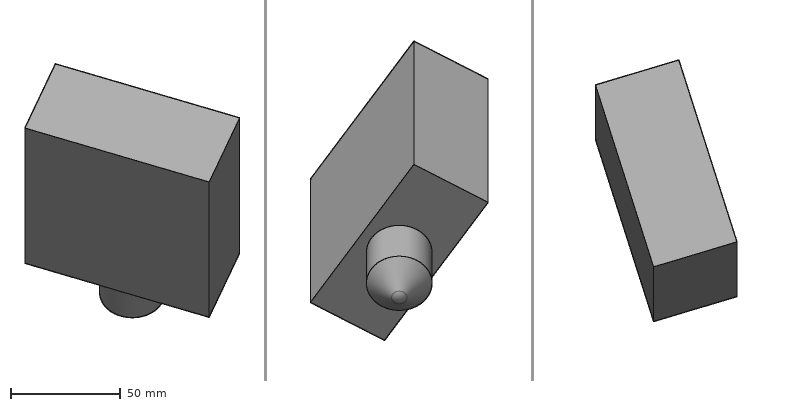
import cadquery as cq
import math

total_height = 137.9
block_width = 90.0
block_depth = 40.0
block_height = 100.0

pin_radius = 15.0
pin_length = 25.0
tip_radius = 5.0

block_bottom = total_height - block_height
cone_top = block_bottom - pin_length

cone_slope = math.radians(45)
tangent_radius = tip_radius * math.sin(cone_slope)
tangent_height = tip_radius * (1 - math.cos(cone_slope))
half_slope = cone_slope / 2
arc_middle = (tip_radius * math.sin(half_slope), tip_radius * (1 - math.cos(half_slope)))

block = (
    cq.Workplane("XY")
    .workplane(offset=block_bottom)
    .rect(block_width, block_depth)
    .extrude(block_height)
)

pin = (
    cq.Workplane("XZ")
    .moveTo(0, 0)
    .threePointArc(arc_middle, (tangent_radius, tangent_height))
    .lineTo(pin_radius, cone_top)
    .lineTo(pin_radius, block_bottom)
    .lineTo(0, block_bottom)
    .close()
    .revolve(360, (0, 0), (0, 1))
)

result = block.union(pin)